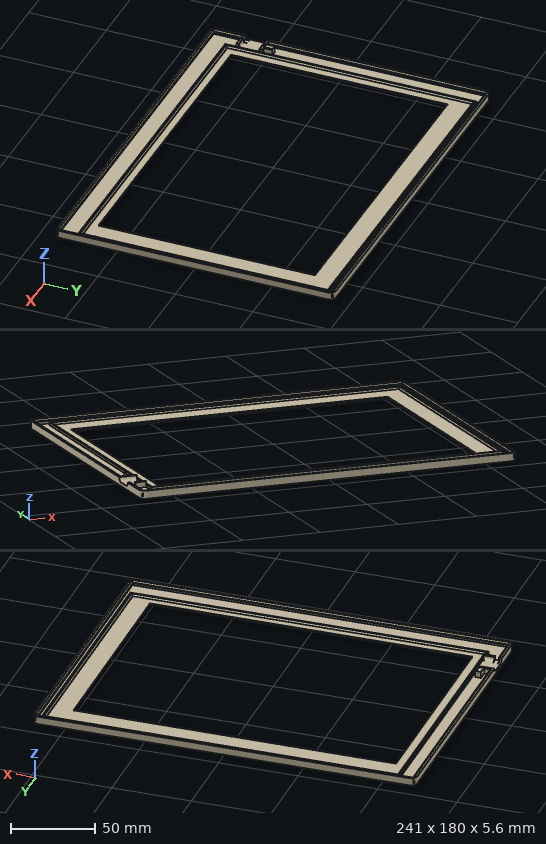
import cadquery as cq
length = 241.0
width = 180.0
rim_top = 5.0
corner_radius = 4.0

rim_flat = 1.5
rim_bevel = 1.0
lip_bottom = 3.4
channel_floor = 1.5

rib_left = -109.2
rib_right = 116.1
rib_front = -76.8
rib_back = 85.4
rib_flat = 1.0
rib_bevel = 1.1
rib_top = 3.1
pocket_floor = rib_top - rib_bevel

window_length = 202.6
window_width = 139.5
window_land = 0.4
window_flare = pocket_floor - window_land

bay_floor = 2.45
bay_fillet = rim_top - bay_floor
bay_back = -54.8
bay_front = -68.2
bay_right = -108.3
back_wall_thickness = 1.9
block_front = -69.8
block_left = -115.9

nub_top = 5.6
nub_left = -114.6
nub_right = -111.0
nub_back = -47.2
nub_bevel = 0.5

pin_hole_diameter = 1.0
pin_hole_height = 2.1

half_length = length / 2
half_width = width / 2
rim_inside = rim_flat - half_length
wall_back = bay_back + back_wall_thickness
clearance = 1.0


def box(x0, x1, y0, y1, z0, z1):
    """Box between two opposite corners."""
    return cq.Workplane("XY").box(x1 - x0, y1 - y0, z1 - z0, centered=False).translate((x0, y0, z0))


def centered_box(size_x, size_y, z0, z1):
    """Box centered on the Z axis between two heights."""
    return box(-size_x / 2, size_x / 2, -size_y / 2, size_y / 2, z0, z1)


def tapered_box(x0, x1, y0, y1, top, bevel):
    """Solid that shrinks by the bevel on every side over an equal drop below its top."""
    return (
        cq.Workplane("XY", origin=((x0 + x1) / 2, (y0 + y1) / 2, top))
        .rect(x1 - x0, y1 - y0)
        .workplane(offset=-bevel)
        .rect(x1 - x0 - 2 * bevel, y1 - y0 - 2 * bevel)
        .loft(ruled=True)
    )


def make_plate():
    """Solid plate with rounded vertical corners."""
    return centered_box(length, width, 0, rim_top).edges("|Z").fillet(corner_radius)


def cut_channel(body):
    """Hollow the plate inside the rim, leaving an overhanging lip along the rim."""
    mouth_x = length - 2 * rim_flat
    mouth_y = width - 2 * rim_flat
    mouth = tapered_box(-mouth_x / 2, mouth_x / 2, -mouth_y / 2, mouth_y / 2, rim_top, rim_bevel)
    throat = centered_box(mouth_x - 2 * rim_bevel, mouth_y - 2 * rim_bevel, channel_floor, rim_top)
    undercut = centered_box(mouth_x, mouth_y, channel_floor, lip_bottom)
    return body.cut(mouth).cut(throat).cut(undercut)


def add_rib(body):
    """Rectangular rib enclosing the display pocket, beveled on its inner side."""
    rib = box(rib_left, rib_right, rib_front, rib_back, 0, rib_top)
    pocket = tapered_box(
        rib_left + rib_flat,
        rib_right - rib_flat,
        rib_front + rib_flat,
        rib_back - rib_flat,
        rib_top,
        rib_bevel,
    )
    return body.union(rib).cut(pocket)


def cut_window(body):
    """Opening with a short upright land and a 45 degree flare below it."""
    opening = centered_box(window_length, window_width, 0, rim_top)
    flare = (
        cq.Workplane("XY")
        .rect(window_length + 2 * window_flare, window_width + 2 * window_flare)
        .workplane(offset=window_flare)
        .rect(window_length, window_width)
        .loft(ruled=True)
    )
    return body.cut(opening).cut(flare)


def add_bay(body):
    """Raised pad holding a filleted cable bay that opens through the rim."""
    pad = box(rim_inside, rib_left, block_front, wall_back, 0, rim_top)
    above = rim_top + clearance
    outside = -half_length - bay_fillet
    cavity = box(outside, bay_right, bay_front, bay_back, bay_floor, above)
    cavity = cavity.edges("<Z").edges("not <X").fillet(bay_fillet)
    cavity = cavity.intersect(box(outside, rib_left, bay_front, bay_back, bay_floor, above))
    slit = box(rim_inside, block_left, block_front, bay_front + bay_fillet, bay_floor, above)
    return body.union(pad).cut(cavity).cut(slit)


def add_nub(body):
    """Upright nub against the bay's back wall, beveled along its +X top edge."""
    nub = box(nub_left, nub_right, wall_back, nub_back, 0, nub_top)
    return body.union(nub.edges(">Z and >X").chamfer(nub_bevel))


def drill_corners(body):
    """Horizontal pin hole through the rim at the middle of each rounded corner."""
    for side_x in (-1, 1):
        for side_y in (-1, 1):
            start = cq.Vector(
                side_x * (half_length - corner_radius),
                side_y * (half_width - corner_radius),
                pin_hole_height,
            )
            outward = cq.Vector(side_x, side_y, 0)
            hole = cq.Solid.makeCylinder(pin_hole_diameter / 2, 2 * corner_radius, start, outward)
            body = body.cut(cq.Workplane(obj=hole))
    return body


frame = cut_window(add_rib(cut_channel(make_plate())))
result = drill_corners(add_nub(add_bay(frame)))